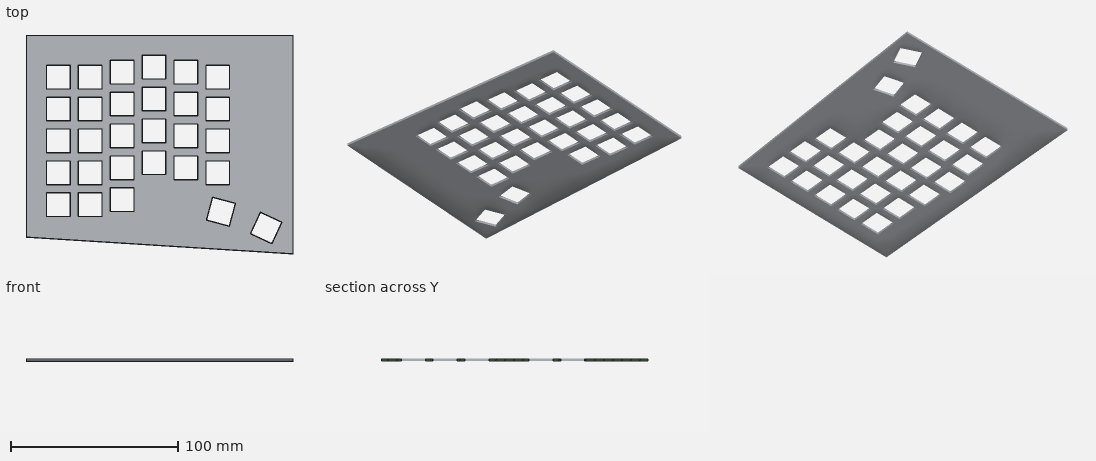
import cadquery as cq

plate_width = 159.3
left_side_length = 120.65
right_side_length = 130.65
plate_thickness = 1.5

key_pitch = 19.05
cutout_size = 14.0
first_key_x = key_pitch
first_key_y = -25.0

stagger_step = 3.0
columns = [
    (5, 0.0),
    (5, 0.0),
    (5, stagger_step),
    (4, 2 * stagger_step),
    (4, stagger_step),
    (4, 0.0),
]

thumb_keys = [
    (116.2, -105.4, -15.0),
    (143.2, -115.1, -25.0),
]


def make_plate():
    """Four-sided plate whose lower edge slopes down to the right."""
    corners = [
        (0, 0),
        (plate_width, 0),
        (plate_width, -right_side_length),
        (0, -left_side_length),
    ]
    return cq.Workplane("XY").polyline(corners).close().extrude(plate_thickness)


def make_cutout(x, y, angle=0.0):
    """Square through-cutter centred on (x, y) and turned about its own axis."""
    return (
        cq.Workplane("XY")
        .rect(cutout_size, cutout_size)
        .extrude(plate_thickness)
        .rotate((0, 0, 0), (0, 0, 1), angle)
        .translate((x, y, 0))
    )


def cut_finger_keys(plate):
    """Cut the staggered columns of finger keys."""
    for column, (key_count, shift) in enumerate(columns):
        x = first_key_x + column * key_pitch
        for row in range(key_count):
            y = first_key_y + shift - row * key_pitch
            plate = plate.cut(make_cutout(x, y))
    return plate


def cut_thumb_keys(plate):
    """Cut the rotated thumb keys."""
    for x, y, angle in thumb_keys:
        plate = plate.cut(make_cutout(x, y, angle))
    return plate


result = cut_thumb_keys(cut_finger_keys(make_plate()))